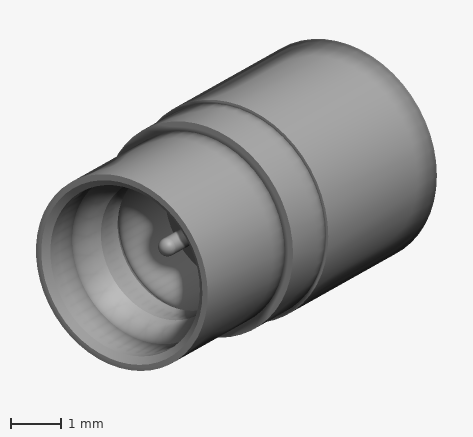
import cadquery as cq

length = 7.75
front_end = 2.735
collar_end = 3.88
front_radius = 4.14 / 2
collar_radius = 4.55 / 2
rear_radius = 4.7 / 2

mouth_radius = 3.88 / 2
entry_radius = 3.6 / 2
throat_radius = 2.96 / 2
cavity_radius = 3.185 / 2
lead_in_end = 0.12
entry_end = 0.89
cone_end = 1.44
throat_end = 2.04
relief_end = 2.25
floor_y = collar_end

pin_radius = 0.38 / 2
pin_tip_y = cone_end
dish_radius = 2.05 / 2
dish_depth = 0.06


def body():
    """Solid of revolution with two outer steps, bored from the front."""
    dish_middle = (pin_radius + dish_radius) / 2
    return (
        cq.Workplane("XY")
        .moveTo(mouth_radius, 0)
        .lineTo(front_radius, 0)
        .lineTo(front_radius, front_end)
        .lineTo(collar_radius, front_end)
        .lineTo(collar_radius, collar_end)
        .lineTo(rear_radius, collar_end)
        .lineTo(rear_radius, length)
        .lineTo(0, length)
        .lineTo(0, floor_y)
        .lineTo(pin_radius, floor_y)
        .threePointArc((dish_middle, floor_y + dish_depth), (dish_radius, floor_y))
        .lineTo(cavity_radius, floor_y)
        .lineTo(cavity_radius, relief_end)
        .lineTo(throat_radius, throat_end)
        .lineTo(throat_radius, cone_end)
        .lineTo(entry_radius, entry_end)
        .lineTo(entry_radius, lead_in_end)
        .close()
        .revolve(360, (0, 0, 0), (0, 1, 0))
    )


def pin():
    """Central pin with a hemispherical tip, rooted in the cavity floor."""
    root_y = floor_y + dish_depth
    shoulder_y = pin_tip_y + pin_radius
    arc_offset = pin_radius / 2**0.5
    return (
        cq.Workplane("XY")
        .moveTo(0, root_y)
        .lineTo(pin_radius, root_y)
        .lineTo(pin_radius, shoulder_y)
        .threePointArc((arc_offset, shoulder_y - arc_offset), (0, pin_tip_y))
        .close()
        .revolve(360, (0, 0, 0), (0, 1, 0))
    )


result = body().union(pin())